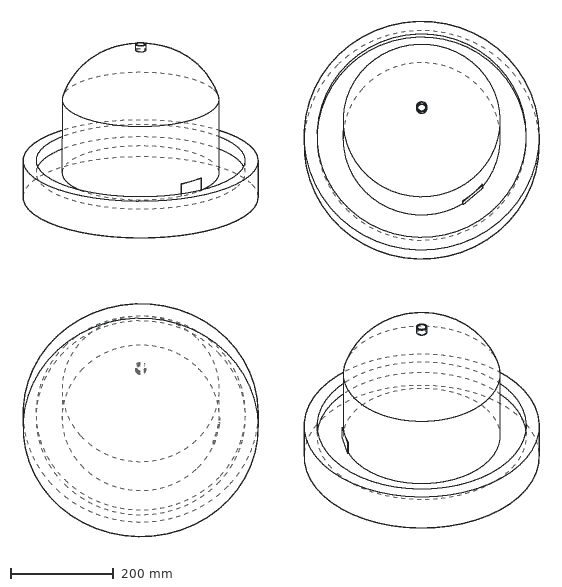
import cadquery as cq
import math

tray_diameter = 457
tray_height = 76.5
trough_diameter = 406.5
floor_height = 50.7
trough_depth = tray_height - floor_height

bell_diameter = 305.0
bell_radius = bell_diameter / 2
shoulder_height = 203.0
crown_height = 305.0
crown_flat_diameter = 29.0

overall_height = 317.5
nipple_diameter = 20.5
nipple_bore = 16.0

block_width = 50.7
block_height = trough_depth


def make_tray():
    """Round tray with a flat-floored trough open at the top."""
    disc = cq.Workplane("XY").circle(tray_diameter / 2).extrude(tray_height)
    trough = (
        cq.Workplane("XY", origin=(0, 0, floor_height))
        .circle(trough_diameter / 2)
        .extrude(trough_depth)
    )
    return disc.cut(trough)


def make_domed_cylinder():
    """Straight cylinder under a dome whose arc runs tangent into a small flat crown."""
    flat_radius = crown_flat_diameter / 2
    dome_run = bell_radius - flat_radius
    dome_rise = crown_height - shoulder_height
    arc_radius = (dome_run**2 + dome_rise**2) / (2 * dome_rise)
    half_sweep = math.asin(dome_run / arc_radius) / 2
    arc_middle = (
        flat_radius + arc_radius * math.sin(half_sweep),
        crown_height - arc_radius * (1 - math.cos(half_sweep)),
    )
    return (
        cq.Workplane("XZ")
        .moveTo(0, floor_height)
        .lineTo(bell_radius, floor_height)
        .lineTo(bell_radius, shoulder_height)
        .threePointArc(arc_middle, (flat_radius, crown_height))
        .lineTo(0, crown_height)
        .close()
        .revolve(360, (0, 0, 0), (0, 1, 0))
    )


def make_nipple():
    """Short tube on the crown flat."""
    return (
        cq.Workplane("XY", origin=(0, 0, crown_height))
        .circle(nipple_diameter / 2)
        .circle(nipple_bore / 2)
        .extrude(overall_height - crown_height)
    )


def make_foot_block():
    """Block from the bell axis out to the wall, so that only its outer corners emerge."""
    return cq.Workplane("XY", origin=(0, 0, floor_height)).box(
        bell_radius, block_width, block_height, centered=(False, True, False)
    )


def make_bell():
    """Domed cylinder with its nipple and foot block, as one solid."""
    return make_domed_cylinder().union(make_nipple()).union(make_foot_block())


tray = make_tray()
bell = make_bell()

result = cq.Compound.makeCompound([tray.solids().val(), bell.solids().val()])